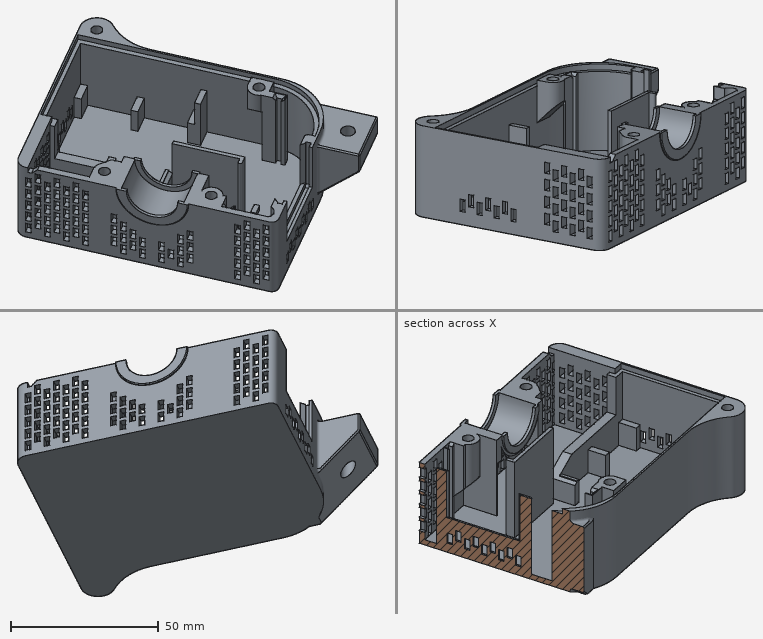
import cadquery as cq
import math

BODY_LENGTH = 93.65
BODY_DEPTH = 68.4
HEIGHT = 32.7
FLOOR = 2.3
FRONT_WALL = 2.3
LEFT_WALL = 2.1
BACK_WALL = 2.4
RIGHT_WALL = 2.6
FRONT_LEFT_RADIUS = 4.0
FRONT_RIGHT_RADIUS = 2.6
BACK_RIGHT_RADIUS = 20.0

EAR_RADIUS = 6.0
EAR_Y = 71.94
EAR_BLEND_RADIUS = 20.0
SCREW_HOLE_DIAMETER = 4.0
SCREW_HOLE_DEPTH = 8.0

THICK_LEFT_X = 4.65
THICK_RIGHT_X = 89.3
THICK_RIGHT_END_Y = 45.1
THICK_RIGHT_BEVEL = 0.9
INNER_BACK_Y = BODY_DEPTH - BACK_WALL
INNER_RIGHT_X = BODY_LENGTH - RIGHT_WALL
INNER_CORNER_RADIUS = 20.0
RELIEF_RADIUS = 2.7
RELIEF_CENTRE = (88.4, 4.6)

LEDGE_Z = 30.6
RIM_LIP = 0.7
RIM_RIGHT_X = 92.8
RIM_CORNER_RADIUS = 21.8
REBATE_FRONT_Y = 26.5

DIVIDER_BACK_Y = 27.9
RIDGE_FRONT_Y = 24.3
RIDGE_TALL_END_X = 6.4
RIDGE_RAMP_X = 35.55
RIDGE_END_X = 45.15
RIDGE_Z = 15.5
RIDGE_END_Z = 10.4
RIDGE_RETURN = 1.4
PANEL_START_X = 47.7
PANEL_END_X = 73.25
PANEL_THICKNESS = 1.4
PANEL_HOOK_Y = 24.2

PAD_WIDTH = 2.55
PAD_REACH = 7.0
PAD_Z = 11.5
PAD_X = (LEFT_WALL, 22.35, 42.6)
STOP_X = 45.15
STOP_WIDTH = 2.15
STOP_Z = 21.6

SLOT_X = 74.3
SLOT_WIDTH = 1.9
SLOT_FUNNEL = 1.05
GUIDE_END_X = 77.6
BACK_GUIDE_X = 69.5
BACK_GUIDE_Y = 58.55
BACK_GUIDE_DEPTH = 2.8
BACK_SLOT_DEPTH = 1.45
BACK_GUIDE_FIN = 0.7
FRONT_GUIDE_DEPTH = 1.6
REST_Y = 31.05
REST_LENGTH = 4.0
REST_HEIGHT = 2.0

BOSS_RADIUS = 4.0
BACK_BOSS = (67.2, 62.1)
BACK_BOSS_WALL_Z = 17.4
FRONT_LEFT_BOSS = (30.0, 6.4)
FRONT_RIGHT_BOSS = (68.2, 6.4)
FRONT_RIGHT_BOSS_WALL_Z = 9.8
LEFT_BOSS_SIDE_Z = 18.7
LEFT_BOSS_Z = 14.45

CRADLE_X = 49.25
LIP_RADIUS = 9.15
RECESS_RADIUS = 11.2
COLLAR_RADIUS = 13.0
COLLAR_CHAMFER = 0.35
COLLAR_REACH = 0.65
BACK_COLLAR_RADIUS = 11.7
SHELL_RADIUS = 12.75
CRADLE_BACK_Y = 15.45
BACK_COLLAR_REACH = 0.7
CRADLE_LIP = 1.08
CRADLE_LEFT_X = 34.1
CRADLE_RIGHT_X = 64.4
SHOULDER_Y = 12.6
RIGHT_SHOULDER_REACH = 1.2
WEB_THICKNESS = 0.6
BOSS_OVERLAP_RADIUS = (RECESS_RADIUS + SHELL_RADIUS) / 2

WINDOW_Y = (11.5, 39.35)
SILL_Z = 14.1
CHANNEL_Y = (9.8, 41.4)
CHANNEL_X = (90.7, 92.5)
CHANNEL_DEPTH = 2.0
CHANNEL_BEVEL = 1.0

FLANGE_REACH = 15.0
FLANGE_Y = (45.3, 65.6)
FLANGE_TOP_Z = 28.1
FLANGE_TIP_Z = 20.2
FLANGE_CHAMFER = 0.5
FLANGE_ROOT_FILLET = 1.0
SELECTION_MARGIN = 0.1
FLANGE_HOLE_DIAMETER = 5.0

VENT_WIDTH = 2.0
VENT_HEIGHT = 3.9
VENT_PITCH = 3.4
FRONT_VENT_X = 4.85
FRONT_VENT_ROW_PITCH = 5.35
FRONT_VENT_EVEN_Z = 4.4
FRONT_VENT_ODD_Z = 7.2
FRONT_VENT_ROWS = (
    {column: 5 for column in (0, 1, 2, 3, 4, 5, 6, 22, 23, 24, 25)}
    | {9: 3, 10: 3, 11: 2, 12: 2, 14: 2, 15: 1, 16: 3, 17: 3}
)
SIDE_VENT_Y = 5.4
SIDE_VENT_ROW_PITCH = 6.1
SIDE_VENT_EVEN_Z = 5.8
SIDE_VENT_ODD_Z = 7.85
SIDE_VENT_COLUMNS = range(6)
SIDE_VENT_ROWS = 4
LOW_VENT_COLUMNS = range(9, 16)
LOW_VENT_HEIGHT = 4.4
LOW_VENT_EVEN_Z = 9.1
LOW_VENT_ODD_Z = 6.9
RIGHT_VENT_COLUMNS = range(2, 11)

NOTCH_END_X = 8.1


def block(x0, x1, y0, y1, z0, z1):
    return cq.Workplane("XY").box(x1 - x0, y1 - y0, z1 - z0, centered=False).translate((x0, y0, z0))


def upright_cylinder(centre, radius, z0, z1):
    return cq.Workplane("XY", origin=(*centre, z0)).circle(radius).extrude(z1 - z0)


def cylinder_along_y(radius, y0, y1):
    """Cylinder on the cradle axis, which lies in the top plane of the body."""
    return cq.Workplane("XZ", origin=(CRADLE_X, y0, HEIGHT)).circle(radius).extrude(y0 - y1)


def diagonal(radius):
    return radius * math.sqrt(0.5)


def outer_body():
    blend_y = BODY_DEPTH + EAR_BLEND_RADIUS
    centre_distance = EAR_RADIUS + EAR_BLEND_RADIUS
    blend_x = EAR_RADIUS + math.sqrt(centre_distance**2 - (blend_y - EAR_Y) ** 2)
    share = EAR_RADIUS / centre_distance
    touch = (EAR_RADIUS + share * (blend_x - EAR_RADIUS), EAR_Y + share * (blend_y - EAR_Y))
    return (
        cq.Workplane("XY")
        .moveTo(0, 0)
        .lineTo(BODY_LENGTH, 0)
        .lineTo(BODY_LENGTH, BODY_DEPTH - BACK_RIGHT_RADIUS)
        .tangentArcPoint((BODY_LENGTH - BACK_RIGHT_RADIUS, BODY_DEPTH), relative=False)
        .lineTo(blend_x, BODY_DEPTH)
        .tangentArcPoint(touch, relative=False)
        .threePointArc((EAR_RADIUS, EAR_Y + EAR_RADIUS), (0, EAR_Y))
        .close()
        .extrude(HEIGHT)
        .edges(cq.selectors.NearestToPointSelector((0, 0, HEIGHT / 2)))
        .fillet(FRONT_LEFT_RADIUS)
        .edges(cq.selectors.NearestToPointSelector((BODY_LENGTH, 0, HEIGHT / 2)))
        .fillet(FRONT_RIGHT_RADIUS)
    )


def add_flange(body):
    tip_x = BODY_LENGTH + FLANGE_REACH
    y0, y1 = FLANGE_Y
    embedded_x = BODY_LENGTH - BACK_RIGHT_RADIUS
    root_z = FLANGE_TIP_Z - (tip_x - embedded_x)
    flange = (
        cq.Workplane("XZ", origin=(0, y1, 0))
        .moveTo(embedded_x, FLANGE_TOP_Z)
        .lineTo(tip_x, FLANGE_TOP_Z)
        .lineTo(tip_x, FLANGE_TIP_Z)
        .lineTo(embedded_x, root_z)
        .close()
        .extrude(y1 - y0)
        .faces(">X or <Y or >Y")
        .edges()
        .chamfer(FLANGE_CHAMFER)
    )
    flange = flange.cut(block(0, tip_x, 0, BODY_DEPTH, root_z, 0))
    return round_flange_root(body.union(flange))


def round_flange_root(body):
    """Fillet the seam where the flange leaves the right side of the body."""
    y0, y1 = FLANGE_Y
    seam = cq.selectors.BoxSelector(
        (BODY_LENGTH - BACK_RIGHT_RADIUS / 2, y0 - SELECTION_MARGIN, SELECTION_MARGIN),
        (BODY_LENGTH + SELECTION_MARGIN, y1 + SELECTION_MARGIN, FLANGE_TOP_Z + SELECTION_MARGIN),
        boundingbox=True,
    )
    return body.edges(seam).fillet(FLANGE_ROOT_FILLET)


def cavity():
    relief_x, relief_y = RELIEF_CENTRE
    relief_side_y = relief_y + math.sqrt(RELIEF_RADIUS**2 - (THICK_RIGHT_X - relief_x) ** 2)
    relief_front_x = relief_x + math.sqrt(RELIEF_RADIUS**2 - (FRONT_WALL - relief_y) ** 2)
    return (
        cq.Workplane("XY", origin=(0, 0, FLOOR))
        .moveTo(THICK_LEFT_X, FRONT_WALL)
        .lineTo(relief_front_x, FRONT_WALL)
        .threePointArc((relief_x + RELIEF_RADIUS, relief_y), (THICK_RIGHT_X, relief_side_y))
        .lineTo(THICK_RIGHT_X, THICK_RIGHT_END_Y - THICK_RIGHT_BEVEL)
        .lineTo(THICK_RIGHT_X + THICK_RIGHT_BEVEL, THICK_RIGHT_END_Y)
        .lineTo(INNER_RIGHT_X, THICK_RIGHT_END_Y)
        .lineTo(INNER_RIGHT_X, INNER_BACK_Y - INNER_CORNER_RADIUS)
        .tangentArcPoint((INNER_RIGHT_X - INNER_CORNER_RADIUS, INNER_BACK_Y), relative=False)
        .lineTo(LEFT_WALL, INNER_BACK_Y)
        .lineTo(LEFT_WALL, DIVIDER_BACK_Y)
        .lineTo(THICK_LEFT_X, DIVIDER_BACK_Y)
        .close()
        .extrude(HEIGHT)
    )


def rim_rebate():
    back_y = BODY_DEPTH - RIM_LIP
    return (
        cq.Workplane("XY", origin=(0, 0, LEDGE_Z))
        .moveTo(RIM_LIP, REBATE_FRONT_Y)
        .lineTo(THICK_LEFT_X, REBATE_FRONT_Y)
        .lineTo(THICK_LEFT_X, THICK_RIGHT_END_Y)
        .lineTo(RIM_RIGHT_X, THICK_RIGHT_END_Y)
        .lineTo(RIM_RIGHT_X, back_y - RIM_CORNER_RADIUS)
        .tangentArcPoint((RIM_RIGHT_X - RIM_CORNER_RADIUS, back_y), relative=False)
        .lineTo(RIM_LIP, back_y)
        .close()
        .extrude(HEIGHT - LEDGE_Z)
    )


def ridge():
    """Wall between the compartments: tall at the left end and ramped down at the right end."""
    profile = (
        cq.Workplane("XZ", origin=(0, DIVIDER_BACK_Y + PAD_REACH, 0))
        .moveTo(THICK_LEFT_X, 0)
        .lineTo(THICK_LEFT_X, LEDGE_Z)
        .lineTo(RIDGE_TALL_END_X, LEDGE_Z)
        .lineTo(RIDGE_TALL_END_X, RIDGE_Z)
        .lineTo(RIDGE_RAMP_X, RIDGE_Z)
        .lineTo(RIDGE_END_X, RIDGE_END_Z)
        .lineTo(RIDGE_END_X, 0)
        .close()
        .extrude(DIVIDER_BACK_Y + PAD_REACH - RIDGE_FRONT_Y)
    )
    return_x = RIDGE_END_X - RIDGE_RETURN
    return profile.cut(block(0, return_x, DIVIDER_BACK_Y, BODY_DEPTH, 0, HEIGHT))


def panel():
    """Thin full-height screen with a rounded hook at its right end."""
    front_y = DIVIDER_BACK_Y - PANEL_THICKNESS
    hook_radius = PANEL_THICKNESS / 2
    hook_x = PANEL_END_X - hook_radius
    hook_y = PANEL_HOOK_Y + hook_radius
    screen = block(PANEL_START_X, PANEL_END_X, front_y, DIVIDER_BACK_Y, 0, HEIGHT)
    hook = block(PANEL_END_X - PANEL_THICKNESS, PANEL_END_X, hook_y, front_y, 0, HEIGHT)
    return screen.union(hook).union(upright_cylinder((hook_x, hook_y), hook_radius, 0, HEIGHT))


def pads():
    """Low pads in facing pairs, with a taller stop beside the last back pad."""
    back_y = INNER_BACK_Y - PAD_REACH
    front_end_y = DIVIDER_BACK_Y + PAD_REACH
    last_front_end_x = RIDGE_END_X - RIDGE_RETURN
    cradle_pads = block(STOP_X, STOP_X + STOP_WIDTH, back_y, INNER_BACK_Y, 0, STOP_Z)
    for x in PAD_X:
        end_x = x + PAD_WIDTH
        front_end_x = min(end_x, last_front_end_x)
        back_pad = block(x, end_x, back_y, INNER_BACK_Y, 0, PAD_Z)
        front_pad = block(x, front_end_x, DIVIDER_BACK_Y, front_end_y, 0, PAD_Z)
        cradle_pads = cradle_pads.union(back_pad).union(front_pad)
    return cradle_pads


def slope_under(wall_y, wall_z, direction):
    """Material to remove below a 45 degree plane that rises from a wall into the body."""
    return (
        cq.Workplane("YZ")
        .moveTo(wall_y, 0)
        .lineTo(wall_y, wall_z)
        .lineTo(wall_y + direction * HEIGHT, wall_z + HEIGHT)
        .lineTo(wall_y + direction * HEIGHT, 0)
        .close()
        .extrude(BODY_LENGTH)
    )


def back_boss():
    x, y = BACK_BOSS
    boss = upright_cylinder(BACK_BOSS, BOSS_RADIUS, 0, HEIGHT)
    boss = boss.union(block(x - BOSS_RADIUS, x + BOSS_RADIUS, y, INNER_BACK_Y, 0, HEIGHT))
    guide_y = (BACK_GUIDE_Y, BACK_GUIDE_Y + BACK_GUIDE_DEPTH)
    boss = boss.union(block(x, PANEL_END_X, *guide_y, 0, HEIGHT))
    return boss.cut(slope_under(INNER_BACK_Y, BACK_BOSS_WALL_Z, -1))


def front_left_boss():
    """Boss beside the cradle; its underside drops at 45 degrees from the left side to a flat."""
    left_x, left_y = FRONT_LEFT_BOSS
    side_x = left_x - BOSS_RADIUS
    touch = (left_x - diagonal(BOSS_RADIUS), left_y + diagonal(BOSS_RADIUS))
    boss = (
        cq.Workplane("XY")
        .moveTo(side_x, FRONT_WALL)
        .lineTo(side_x, left_y)
        .tangentArcPoint(touch, relative=False)
        .lineTo(touch[0] + SHOULDER_Y - touch[1], SHOULDER_Y)
        .lineTo(CRADLE_LEFT_X, SHOULDER_Y)
        .lineTo(CRADLE_LEFT_X, CRADLE_BACK_Y)
        .lineTo(CRADLE_X - BOSS_OVERLAP_RADIUS, CRADLE_BACK_Y)
        .lineTo(CRADLE_X - BOSS_OVERLAP_RADIUS, FRONT_WALL)
        .close()
        .extrude(HEIGHT)
    )
    flat_x = side_x + LEFT_BOSS_SIDE_Z - LEFT_BOSS_Z
    below = (
        cq.Workplane("XZ", origin=(0, BODY_DEPTH, 0))
        .moveTo(side_x, 0)
        .lineTo(side_x, LEFT_BOSS_SIDE_Z)
        .lineTo(flat_x, LEFT_BOSS_Z)
        .lineTo(CRADLE_X, LEFT_BOSS_Z)
        .lineTo(CRADLE_X, 0)
        .close()
        .extrude(BODY_DEPTH)
    )
    return boss.cut(below)


def front_right_boss():
    """Boss beside the cradle on a sloped underside, with a thin web down to the floor."""
    right_x, right_y = FRONT_RIGHT_BOSS
    shoulder_y = right_y + RIGHT_SHOULDER_REACH
    right = block(right_x - BOSS_RADIUS, PANEL_END_X, FRONT_WALL, shoulder_y, 0, HEIGHT)
    right = right.union(upright_cylinder(FRONT_RIGHT_BOSS, BOSS_RADIUS, 0, HEIGHT))
    right = right.union(
        block(CRADLE_X + BOSS_OVERLAP_RADIUS, CRADLE_RIGHT_X, FRONT_WALL, CRADLE_BACK_Y, 0, HEIGHT)
    )
    right = right.cut(slope_under(FRONT_WALL, FRONT_RIGHT_BOSS_WALL_Z, 1))
    return right.union(
        block(CRADLE_RIGHT_X - WEB_THICKNESS, CRADLE_RIGHT_X, FRONT_WALL, CRADLE_BACK_Y, 0, HEIGHT)
    )


def add_cradle(body):
    back_y = CRADLE_BACK_Y + BACK_COLLAR_REACH
    collar = cylinder_along_y(COLLAR_RADIUS, -COLLAR_REACH, FRONT_WALL)
    collar = collar.faces("<Y").edges().chamfer(COLLAR_CHAMFER)
    shell = collar.union(cylinder_along_y(SHELL_RADIUS, 0, CRADLE_BACK_Y))
    shell = shell.union(cylinder_along_y(BACK_COLLAR_RADIUS, CRADLE_BACK_Y, back_y))
    above = block(0, BODY_LENGTH, -COLLAR_REACH, BODY_DEPTH, HEIGHT, 2 * HEIGHT)
    body = body.union(shell.cut(above))
    body = body.cut(cylinder_along_y(LIP_RADIUS, -COLLAR_REACH, back_y))
    return body.cut(cylinder_along_y(RECESS_RADIUS, CRADLE_LIP - COLLAR_REACH, back_y - CRADLE_LIP))


def guide_slot(y0, y1, open_y0, open_y1):
    """Board slot, with a 45 degree funnel at its top on the closed sides."""
    slot = block(SLOT_X, SLOT_X + SLOT_WIDTH, y0, y1, FLOOR, HEIGHT)
    mouth_x = SLOT_X + SLOT_WIDTH / 2
    mouth_y = (open_y0 + open_y1) / 2
    funnel = (
        cq.Workplane("XY", origin=(mouth_x, mouth_y, HEIGHT))
        .rect(SLOT_WIDTH + 2 * SLOT_FUNNEL, open_y1 - open_y0)
        .workplane(offset=-SLOT_FUNNEL)
        .center(0, (y0 + y1) / 2 - mouth_y)
        .rect(SLOT_WIDTH, y1 - y0)
        .loft(ruled=True)
    )
    return slot.union(funnel)


def guides():
    back_end_y = BACK_GUIDE_Y + BACK_GUIDE_DEPTH
    back = block(PANEL_END_X, GUIDE_END_X, BACK_GUIDE_Y, back_end_y, 0, HEIGHT)
    fin_end_y = BACK_GUIDE_Y + BACK_GUIDE_FIN
    back = back.union(block(BACK_GUIDE_X, PANEL_END_X, BACK_GUIDE_Y, fin_end_y, 0, HEIGHT))
    slot_end_y = BACK_GUIDE_Y + BACK_SLOT_DEPTH
    back = back.cut(guide_slot(BACK_GUIDE_Y, slot_end_y, BACK_GUIDE_Y, slot_end_y + SLOT_FUNNEL))
    front_end_y = FRONT_WALL + FRONT_GUIDE_DEPTH
    front = block(PANEL_END_X, GUIDE_END_X, FRONT_WALL, front_end_y, 0, HEIGHT)
    front = front.cut(guide_slot(FRONT_WALL, front_end_y, FRONT_WALL, front_end_y))
    rest = block(SLOT_X, SLOT_X + SLOT_WIDTH, REST_Y, REST_Y + REST_LENGTH, 0, FLOOR + REST_HEIGHT)
    return back.union(front).union(rest)


def window():
    y0, y1 = WINDOW_Y
    x0, x1 = CHANNEL_X
    channel_y0, channel_y1 = CHANNEL_Y
    lip = x0 - THICK_RIGHT_X
    opening = block(x0, BODY_LENGTH, y0, y1, SILL_Z, HEIGHT)
    inner_opening = (
        cq.Workplane("XY", origin=(0, 0, SILL_Z))
        .moveTo(THICK_RIGHT_X, y0)
        .lineTo(x0, y0 - lip)
        .lineTo(x0, y1 + lip)
        .lineTo(THICK_RIGHT_X, y1)
        .close()
        .extrude(HEIGHT - SILL_Z)
    )
    bottom_z = SILL_Z - CHANNEL_DEPTH
    channel = (
        block(x0, x1, channel_y0, channel_y1, bottom_z, HEIGHT)
        .faces("<Z")
        .edges("|X")
        .chamfer(CHANNEL_BEVEL)
    )
    return opening.union(inner_opening).union(channel)


def vent_z(column, even_z, odd_z):
    return odd_z if column % 2 else even_z


def front_vents():
    cuts = []
    for column, rows in FRONT_VENT_ROWS.items():
        x = FRONT_VENT_X + column * VENT_PITCH
        for row in range(rows):
            z = vent_z(column, FRONT_VENT_EVEN_Z, FRONT_VENT_ODD_Z) + row * FRONT_VENT_ROW_PITCH
            cuts.append(cq.Solid.makeBox(
                VENT_WIDTH, FRONT_WALL, VENT_HEIGHT,
                cq.Vector(x - VENT_WIDTH / 2, 0, z - VENT_HEIGHT / 2),
            ))
    return cq.Workplane(cq.Compound.makeCompound(cuts))


def side_vent(x0, x1, column, z, height):
    y = SIDE_VENT_Y + column * VENT_PITCH
    return cq.Solid.makeBox(
        x1 - x0, VENT_WIDTH, height, cq.Vector(x0, y - VENT_WIDTH / 2, z - height / 2)
    )


def side_vents():
    cuts = []
    for column in SIDE_VENT_COLUMNS:
        for row in range(SIDE_VENT_ROWS):
            z = vent_z(column, SIDE_VENT_EVEN_Z, SIDE_VENT_ODD_Z) + row * SIDE_VENT_ROW_PITCH
            cuts.append(side_vent(0, THICK_LEFT_X, column, z, VENT_HEIGHT))
    for column in LOW_VENT_COLUMNS:
        z = vent_z(column, LOW_VENT_EVEN_Z, LOW_VENT_ODD_Z)
        cuts.append(side_vent(0, LEFT_WALL, column, z, LOW_VENT_HEIGHT))
    for column in RIGHT_VENT_COLUMNS:
        z = vent_z(column, SIDE_VENT_EVEN_Z, SIDE_VENT_ODD_Z)
        cuts.append(side_vent(THICK_RIGHT_X, BODY_LENGTH, column, z, VENT_HEIGHT))
    return cq.Workplane(cq.Compound.makeCompound(cuts))


def cable_notch():
    depth = HEIGHT - LEDGE_Z
    return (
        cq.Workplane("XZ", origin=(0, FRONT_WALL, 0))
        .moveTo(THICK_LEFT_X, HEIGHT)
        .lineTo(NOTCH_END_X, HEIGHT)
        .lineTo(NOTCH_END_X - depth, LEDGE_Z)
        .lineTo(THICK_LEFT_X, LEDGE_Z)
        .close()
        .extrude(FRONT_WALL)
    )


def screw_holes():
    bottom_z = HEIGHT - SCREW_HOLE_DEPTH
    places = ((EAR_RADIUS, EAR_Y), BACK_BOSS, FRONT_LEFT_BOSS, FRONT_RIGHT_BOSS)
    holes = cq.Workplane("XY", origin=(0, 0, bottom_z)).pushPoints(places)
    return holes.circle(SCREW_HOLE_DIAMETER / 2).extrude(SCREW_HOLE_DEPTH)


def flange_hole():
    centre = (BODY_LENGTH + FLANGE_REACH / 2, sum(FLANGE_Y) / 2)
    return upright_cylinder(centre, FLANGE_HOLE_DIAMETER / 2, 0, HEIGHT)


body = add_flange(outer_body())
body = body.cut(cavity()).cut(rim_rebate())
inner_features = (
    ridge(), panel(), pads(), guides(), back_boss(), front_left_boss(), front_right_boss()
)
for feature in inner_features:
    body = body.union(feature)
body = add_cradle(body)
for opening in (window(), front_vents(), side_vents(), cable_notch(), screw_holes(), flange_hole()):
    body = body.cut(opening)

result = body